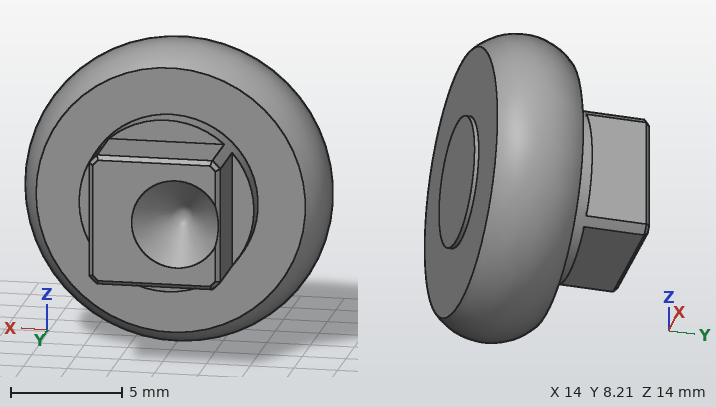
import cadquery as cq

roller_diameter = 14.0
roller_width = 4.0
roller_face_diameter = 12.32
shaft_diameter = 6.0
shaft_protrusion = 0.2
collar_diameter = 8.0
collar_thickness = 1.01
square_side = 6.0
square_length = 3.0
end_chamfer = 0.2
recess_diameter = 4.06
recess_offset = -1.01

roller_front = -roller_width / 2
roller_back = roller_width / 2
shaft_front = roller_front - shaft_protrusion
collar_back = roller_back + collar_thickness
shaft_back = collar_back + square_length


def cylinder(diameter, y_start, length):
    """Solid cylinder on the Y axis, running toward +Y from y_start."""
    return cq.Workplane("XZ", origin=(0, y_start, 0)).circle(diameter / 2).extrude(-length)


def make_roller():
    """Roller with a crowned rim and a plain bore for the shaft."""
    bore_radius = shaft_diameter / 2
    face_radius = roller_face_diameter / 2
    return (
        cq.Workplane("XY")
        .moveTo(bore_radius, roller_front)
        .lineTo(face_radius, roller_front)
        .threePointArc((roller_diameter / 2, 0), (face_radius, roller_back))
        .lineTo(bore_radius, roller_back)
        .close()
        .revolve(360, (0, 0, 0), (0, 1, 0))
    )


def make_square_end():
    """Square drive with corners rounded to the collar diameter and a chamfered end."""
    square = (
        cq.Workplane("XZ", origin=(0, collar_back, 0))
        .rect(square_side, square_side)
        .extrude(-square_length)
    )
    corner_envelope = cylinder(collar_diameter, collar_back, square_length)
    return square.intersect(corner_envelope).faces(">Y").chamfer(end_chamfer)


def make_end_recess():
    """Off-centre 90-degree conical recess that breaks through the -X end chamfer."""
    recess_radius = recess_diameter / 2
    recess_depth = recess_radius
    mouth_centre = cq.Vector(recess_offset, shaft_back, 0)
    return cq.Solid.makeCone(recess_radius, 0, recess_depth, mouth_centre, cq.Vector(0, -1, 0))


def make_shaft():
    """Shaft through the roller, with a collar, the square drive and its end recess."""
    journal = cylinder(shaft_diameter, shaft_front, roller_back - shaft_front)
    collar = cylinder(collar_diameter, roller_back, collar_thickness)
    return journal.union(collar).union(make_square_end()).cut(cq.Workplane(obj=make_end_recess()))


roller = make_roller()
shaft = make_shaft()

result = cq.Compound.makeCompound([roller.val(), shaft.val()])